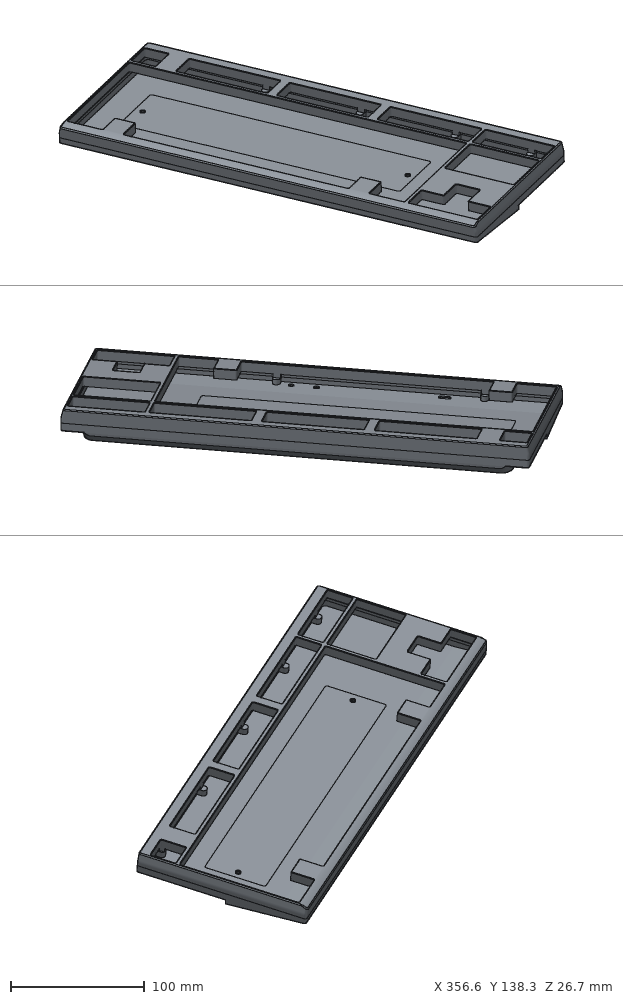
import cadquery as cq
import math

typing_angle = 4.5
case_width = 356.64
overall_depth = 138.26
overall_height = 26.7

tilt = math.radians(typing_angle)
half_width = case_width / 2

front_face_top = 13.9
roll_start = 7.4
roll_crease = 6.0

underside_level = -1.4
floor_level = 0.0
seam_level = 5.1
ceiling_level = 8.0
side_arc_low = 7.9
side_arc_high = 9.95

outer_chamfer = 0.8

front_lean = (front_face_top - outer_chamfer) * math.sin(tilt)
case_depth = (overall_depth - front_lean + underside_level * math.sin(tilt)) / math.cos(tilt)
top_level = (overall_height - (case_depth - outer_chamfer) * math.sin(tilt)) / math.cos(tilt)

side_draft = 13.0
corner_radius = 2.0
rim_chamfer = 0.5
base_chamfer = 0.7

key_unit = 19.05
key_clearance = 0.65
grid_columns = 18.25
grid_rows = 6.25
grid_left = -grid_columns * key_unit / 2
grid_front = 8.85
opening_radius = 1.0

main_columns = 15
main_rows = 5
filler_columns = [1.5, 12.5]
nav_column = 15.25
nav_columns = 3
nav_row = 3
nav_rows = 2
function_row = grid_rows - 1
function_groups = [(0, 1), (2, 4), (6.5, 4), (11, 4), (nav_column, nav_columns)]

cavity_end_margin = 2.4
cavity_side_margin = 0.5
cavity_radius = 3.0
front_floor_end = 25.0
front_floor_height = front_floor_end * math.sin(tilt) + floor_level * math.cos(tilt)

boss_diameter = 6.0
back_boss_v = 127.4
front_boss_v = 9.3
back_boss_x = [25.8, 106.9, 187.7, 268.4, 332.9]
front_boss_x = [57.9, 216.3, 314.0]
recess_diameter = 4.2
recess_depth = 1.0
recess_y = 11.7
round_recess_x = [185.5, 204.8]
slot_recess_x = 88.1
slot_recess_length = 9.4

plate_left = 27.4
plate_length = 239.3
plate_front = 44.0
plate_depth = 49.4
plate_thickness = 2.0
plate_radius = 2.0
plate_screw_inset = 6.6
screw_counterbore = 4.2
counterbore_depth = 0.6
screw_hole = 2.53
screw_depth = 2.0

foot_inset = 15.0
foot_front = 66.0
foot_back_radius = 8.0
foot_back_bottom = 130.8
foot_height = 15.0

base_allowance = 20.0
tolerance = 0.01


def tip_up(shape):
    """Tilt a level shape about the bottom front edge and set its front at Y = 0."""
    return shape.rotate((0, 0, 0), (1, 0, 0), typing_angle).translate((0, front_lean, 0))


def block(x0, x1, v0, v1, w0, w1):
    """Box between two corners."""
    return cq.Workplane("XY").box(x1 - x0, v1 - v0, w1 - w0, centered=False).translate((x0, v0, w0))


def from_left(x):
    """X of a point given its distance from the left side of the case."""
    return x - half_width


def side_section():
    """Cross-section of the top case: straight side, tangent arc, drafted side."""
    draft = math.radians(side_draft)
    arc_radius = (side_arc_high - side_arc_low) / math.sin(draft)

    def inset(fraction):
        return arc_radius * (1 - math.cos(draft * fraction))

    arc_mid_level = side_arc_low + arc_radius * math.sin(draft / 2)
    top_inset = inset(1) + (top_level - side_arc_high) * math.tan(draft)
    return (
        cq.Workplane("XZ")
        .moveTo(-half_width, seam_level)
        .lineTo(-half_width, side_arc_low)
        .threePointArc((-half_width + inset(0.5), arc_mid_level), (-half_width + inset(1), side_arc_high))
        .lineTo(-half_width + top_inset, top_level)
        .lineTo(half_width - top_inset, top_level)
        .lineTo(half_width - inset(1), side_arc_high)
        .threePointArc((half_width - inset(0.5), arc_mid_level), (half_width, side_arc_low))
        .lineTo(half_width, seam_level)
        .close()
        .extrude(-case_depth)
    )


def roll_section():
    """Side profile of the top case with the front edge rolled over, with a crease along the top."""
    drop = top_level - front_face_top
    chord = math.hypot(roll_start, drop)
    chord_angle = math.atan2(drop, roll_start)
    bulge = chord / 2 * math.tan((chord_angle - math.radians(roll_crease)) / 2)
    mid = (
        roll_start / 2 - bulge * math.sin(chord_angle),
        front_face_top + drop / 2 + bulge * math.cos(chord_angle),
    )
    return (
        cq.Workplane("YZ")
        .moveTo(0, seam_level)
        .lineTo(0, front_face_top)
        .threePointArc(mid, (roll_start, top_level))
        .lineTo(case_depth, top_level)
        .lineTo(case_depth, seam_level)
        .close()
        .extrude(half_width, both=True)
    )


def rounded_column(w0, w1):
    """Plan of the case with rounded corners, between two levels."""
    return block(-half_width, half_width, 0, case_depth, w0, w1).edges("|Z").fillet(corner_radius)


def key_area(column, row, columns, rows, clearance, w0, w1):
    """Block over a group of keys, grown by the clearance on every side."""
    left = grid_left + column * key_unit - clearance
    front = grid_front + row * key_unit - clearance
    width = columns * key_unit + 2 * clearance
    depth = rows * key_unit + 2 * clearance
    return block(left, left + width, front, front + depth, w0, w1)


def key_openings():
    """All openings through the top case, with rounded corners."""

    def opening_area(column, row, columns, rows):
        return key_area(column, row, columns, rows, key_clearance, seam_level, top_level)

    main_keys = opening_area(0, 0, main_columns, main_rows)
    for column in filler_columns:
        filler = key_area(column, -1, 1, 2, -key_clearance, seam_level, top_level)
        main_keys = main_keys.cut(filler)

    bottom_arrows = opening_area(nav_column, 0, nav_columns, 1)
    up_arrow = opening_area(nav_column + 1, 0, 1, 2)
    nav_keys = opening_area(nav_column, nav_row, nav_columns, nav_rows)

    openings = [main_keys, bottom_arrows.union(up_arrow), nav_keys]
    for column, columns in function_groups:
        openings.append(opening_area(column, function_row, columns, 1))
    return [opening.edges("|Z").fillet(opening_radius) for opening in openings]


def boss(x, v, wall_v):
    """Upright boss joined by a rib to the front or back wall."""
    radius = boss_diameter / 2
    height = ceiling_level + base_allowance
    post = cq.Workplane("XY").circle(radius).extrude(height).translate((x, v, -base_allowance))
    rib = block(x - radius, x + radius, min(v, wall_v), max(v, wall_v), -base_allowance, ceiling_level)
    return post.union(rib)


def cavity():
    """Hollow inside the case: flat front floor, tilted main floor, bosses left standing."""
    side = grid_columns * key_unit / 2 + key_clearance + cavity_side_margin
    front = grid_front - key_clearance - cavity_end_margin
    back = grid_front + grid_rows * key_unit + key_clearance + cavity_end_margin
    hollow = block(-side, side, front, back, -base_allowance, ceiling_level)
    hollow = hollow.edges("|Z").fillet(cavity_radius)
    flat_fall = front_floor_end * math.tan(tilt)
    floor = (
        cq.Workplane("YZ")
        .moveTo(0, floor_level + flat_fall)
        .lineTo(front_floor_end, floor_level)
        .lineTo(case_depth, floor_level)
        .lineTo(case_depth, -base_allowance)
        .lineTo(0, -base_allowance)
        .close()
        .extrude(half_width, both=True)
    )
    hollow = hollow.cut(floor)
    for x in back_boss_x:
        hollow = hollow.cut(boss(from_left(x), back_boss_v, case_depth))
    for x in front_boss_x:
        hollow = hollow.cut(boss(from_left(x), front_boss_v, 0))
    return hollow


def make_top_case():
    shell = side_section().intersect(roll_section())
    corner_edges = [edge for end in ("<Y", ">Y") for edge in shell.faces(end).edges("not |X").vals()]
    shell = shell.newObject(corner_edges).fillet(corner_radius)
    upper_edges = [
        edge
        for edge in shell.edges().vals()
        if edge.Center().z > front_face_top - tolerance and abs(edge.Center().y - roll_start) > tolerance
    ]
    shell = shell.newObject(upper_edges).chamfer(outer_chamfer)
    shell = shell.cut(cavity())
    for opening in key_openings():
        shell = shell.cut(opening)
    top_face = shell.faces(">Z").val()
    rims = [edge for wire in top_face.innerWires() for edge in wire.Edges()]
    return tip_up(shell.newObject(rims).chamfer(rim_chamfer))


def plate_blank():
    """Plate outline, flush with the tilted floor."""
    left = from_left(plate_left)
    blank = block(
        left, left + plate_length,
        plate_front, plate_front + plate_depth,
        floor_level - plate_thickness, floor_level,
    )
    return blank.edges("|Z").fillet(plate_radius)


def plate_screws(diameter, w0, w1):
    """Screw hole cutters, one near each end of the plate."""
    left = from_left(plate_left) + plate_screw_inset
    right = from_left(plate_left) + plate_length - plate_screw_inset
    points = [(x, plate_front + plate_depth / 2) for x in (left, right)]
    return cq.Workplane("XY").workplane(offset=w0).pushPoints(points).circle(diameter / 2).extrude(w1 - w0)


def make_weight_plate():
    heads = plate_screws(screw_counterbore, floor_level - counterbore_depth, floor_level)
    shanks = plate_screws(screw_hole, floor_level - plate_thickness, floor_level)
    return tip_up(plate_blank().cut(heads).cut(shanks))


def rear_foot():
    """Narrower rear foot with a sloped, round-cornered back; level with the desk."""
    half = half_width - foot_inset
    back_top = foot_back_bottom + foot_height
    foot = (
        cq.Workplane("YZ")
        .moveTo(foot_front, 0)
        .lineTo(foot_back_bottom, 0)
        .lineTo(back_top, foot_height)
        .lineTo(foot_front, foot_height)
        .close()
        .extrude(half, both=True)
    )
    return foot.edges("not(|X or |Y or |Z)").fillet(foot_back_radius)


def front_base():
    """Full-width front part of the base, blended into the foot by concave arcs."""
    half = half_width - foot_inset
    arc_end = foot_front + foot_inset
    arc_mid_shift = foot_inset * (1 - math.cos(math.pi / 4))
    return (
        cq.Workplane("XY")
        .moveTo(-half_width, 0)
        .lineTo(half_width, 0)
        .lineTo(half_width, foot_front)
        .threePointArc((half + arc_mid_shift, foot_front + arc_mid_shift), (half, arc_end))
        .lineTo(-half, arc_end)
        .threePointArc((-half - arc_mid_shift, foot_front + arc_mid_shift), (-half_width, foot_front))
        .close()
        .extrude(foot_height)
    )


def floor_recesses():
    """Cutters for the shallow recesses in the level front floor."""
    points = [(from_left(x), recess_y) for x in round_recess_x]
    plane = cq.Workplane("XY").workplane(offset=front_floor_height - recess_depth)
    rounds = plane.pushPoints(points).circle(recess_diameter / 2).extrude(recess_depth)
    slot = plane.center(from_left(slot_recess_x), recess_y).slot2D(slot_recess_length, recess_diameter)
    return rounds.union(slot.extrude(recess_depth))


def make_bottom_case():
    tray = rounded_column(underside_level, seam_level)
    tray = tip_up(tray.faces("<Z").edges().chamfer(base_chamfer))
    below = tip_up(rounded_column(-base_allowance, seam_level))
    below = below.intersect(front_base().union(rear_foot()))
    desk = block(-half_width, half_width, 0, overall_depth, 0, overall_height)
    case = tray.union(below).intersect(desk)
    case = case.faces("<Z").edges().chamfer(base_chamfer)
    case = case.cut(tip_up(cavity())).cut(tip_up(plate_blank())).cut(floor_recesses())
    plate_seat = floor_level - plate_thickness
    return case.cut(tip_up(plate_screws(screw_hole, plate_seat - screw_depth, plate_seat)))


top_case = make_top_case()
bottom_case = make_bottom_case()
weight_plate = make_weight_plate()
result = cq.Compound.makeCompound([top_case.val(), bottom_case.val(), weight_plate.val()])